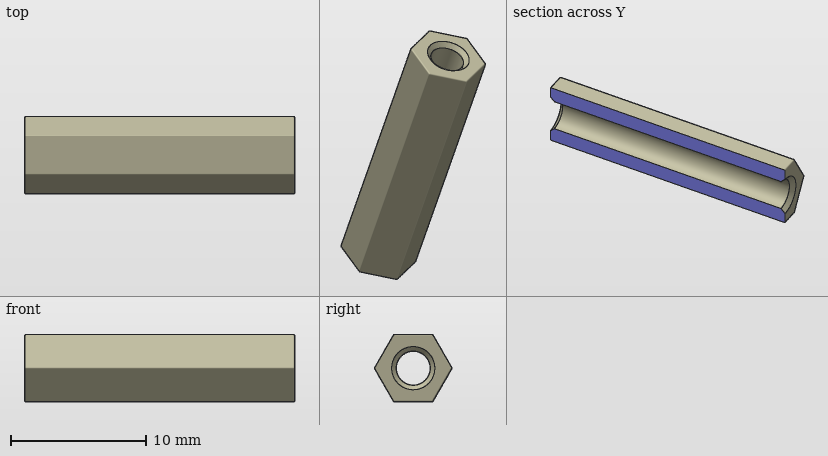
import cadquery as cq
import math

length = 20.0
across_flats = 5.0
edge_radius = 0.1
bore_diameter = 2.5
countersink_diameter = 3.2
countersink_angle = 90.0

across_corners = across_flats / math.cos(math.radians(30))
countersink_depth = (
    (countersink_diameter - bore_diameter) / 2 / math.tan(math.radians(countersink_angle / 2))
)


def hex_body():
    """Hexagonal bar centred on the origin, with all its outer edges rounded."""
    bar = cq.Workplane("YZ").polygon(6, across_corners).extrude(length / 2, both=True)
    return bar.edges().fillet(edge_radius)


def bore_cutter():
    """Through bore with a countersink at each end, revolved about X."""
    half_length = length / 2
    bore_radius = bore_diameter / 2
    countersink_radius = countersink_diameter / 2
    return (
        cq.Workplane("XY")
        .moveTo(-half_length, 0)
        .lineTo(-half_length, countersink_radius)
        .lineTo(-half_length + countersink_depth, bore_radius)
        .lineTo(half_length - countersink_depth, bore_radius)
        .lineTo(half_length, countersink_radius)
        .lineTo(half_length, 0)
        .close()
        .revolve(360, (0, 0, 0), (1, 0, 0))
    )


result = hex_body().cut(bore_cutter())